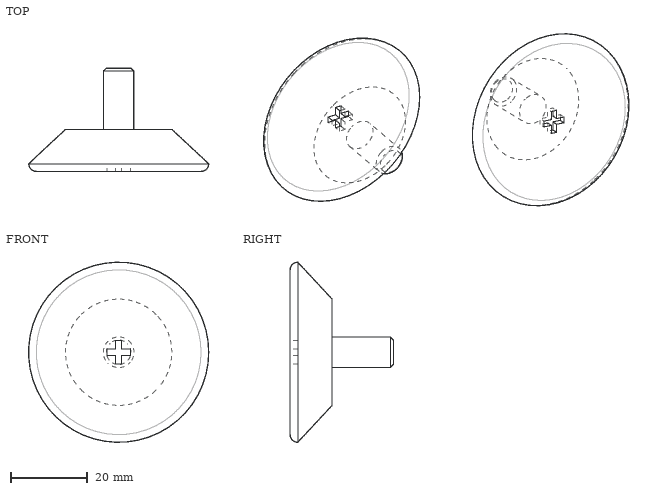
import cadquery as cq

head_diameter = 47.0
shoulder_diameter = 27.75
head_thickness = 11.0
rim_radius = 2.0

stud_diameter = 8.0
stud_length = 16.0
stud_chamfer = 0.8

cross_span = 6.1
cross_width = 1.6
cross_depth = 2.0


def make_body():
    """Revolve the half profile of head and stud about the Y axis."""
    head_radius = head_diameter / 2
    stud_radius = stud_diameter / 2
    overall_length = head_thickness + stud_length
    rim_center_x = head_radius - rim_radius
    diagonal = rim_radius * 0.5 ** 0.5
    return (
        cq.Workplane("XY")
        .lineTo(rim_center_x, 0)
        .threePointArc((rim_center_x + diagonal, rim_radius - diagonal), (head_radius, rim_radius))
        .lineTo(shoulder_diameter / 2, head_thickness)
        .lineTo(stud_radius, head_thickness)
        .lineTo(stud_radius, overall_length - stud_chamfer)
        .lineTo(stud_radius - stud_chamfer, overall_length)
        .lineTo(0, overall_length)
        .close()
        .revolve(360, (0, 0, 0), (0, 1, 0))
    )


def make_cross():
    """Two crossed bars reaching from the flat face into the head."""
    centered_on_face = (True, False, True)
    across = cq.Workplane("XY").box(cross_span, cross_depth, cross_width, centered=centered_on_face)
    upright = cq.Workplane("XY").box(cross_width, cross_depth, cross_span, centered=centered_on_face)
    return across.union(upright)


result = make_body().cut(make_cross())